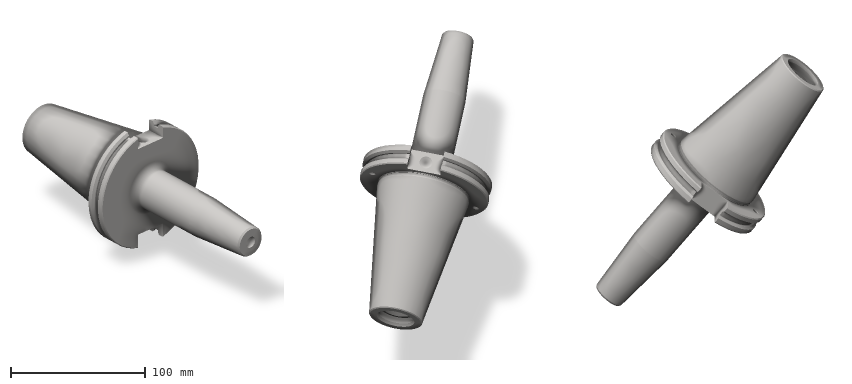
import cadquery as cq
import math

total_length = 231.5

taper_ratio = 7 / 24
taper_length = 101.7
gauge_radius = 70.0 / 2
small_radius = gauge_radius - taper_length * taper_ratio / 2
taper_chamfer = 0.7

relief_radius = 69.2 / 2
relief_start = 102.8
relief_end = 104.2

flange_start = 105.0
flange_end = 120.7
flange_radius = 98.0 / 2
flange_chamfer_length = 0.8
flange_chamfer_depth = 0.7
groove_center = 112.5
groove_floor_width = 4.2
groove_mouth_width = 7.0
groove_depth = 3.5
groove_flank_depth = 2.0

slot_width = 25.2
upper_slot_floor = 38.0
lower_slot_floor = 35.5

slot_recess_diameter = 9.5
drill_half_angle = math.radians(59)

neck_radius = 32.0 / 2
neck_fillet = 5.0
nose_start = 180.9
nose_radius = 24.0 / 2
nose_tip_radius = 22.0 / 2
nose_chamfer_length = 1.5

mouth_radius = 28.7 / 2
counterbore_radius = 26.2 / 2
mouth_depth = 2.0
counterbore_depth = 6.7
bore_radius = 22.0 / 2
bore_depth = 46.3
through_radius = 9.0 / 2

coolant_angle = 20.2
coolant_radius = 42.0
coolant_diameter = 4.2
coolant_mouth_diameter = 5.0
cross_hole_diameter = 3.2


def revolve_about_x(profile):
    return profile.close().revolve(360, (0, 0, 0), (1, 0, 0))


def turned_body():
    floor_half = groove_floor_width / 2
    mouth_half = groove_mouth_width / 2
    floor_radius = flange_radius - groove_depth
    flank_radius = flange_radius - groove_flank_depth
    rim_radius = flange_radius - flange_chamfer_depth
    fillet_middle = neck_fillet * (1 - math.sqrt(0.5))
    profile = (
        cq.Workplane("XY")
        .lineTo(0, small_radius - taper_chamfer)
        .lineTo(taper_chamfer, small_radius + taper_chamfer * taper_ratio / 2)
        .lineTo(taper_length, gauge_radius)
        .lineTo(relief_start, relief_radius)
        .lineTo(relief_end, relief_radius)
        .lineTo(relief_end, gauge_radius)
        .lineTo(flange_start, gauge_radius)
        .lineTo(flange_start, rim_radius)
        .lineTo(flange_start + flange_chamfer_length, flange_radius)
        .lineTo(groove_center - mouth_half, flange_radius)
        .lineTo(groove_center - floor_half, flank_radius)
        .lineTo(groove_center - floor_half, floor_radius)
        .lineTo(groove_center + floor_half, floor_radius)
        .lineTo(groove_center + floor_half, flank_radius)
        .lineTo(groove_center + mouth_half, flange_radius)
        .lineTo(flange_end - flange_chamfer_length, flange_radius)
        .lineTo(flange_end, rim_radius)
        .lineTo(flange_end, neck_radius + neck_fillet)
        .threePointArc(
            (flange_end + fillet_middle, neck_radius + fillet_middle),
            (flange_end + neck_fillet, neck_radius),
        )
        .lineTo(nose_start, neck_radius)
        .lineTo(total_length - nose_chamfer_length, nose_radius)
        .lineTo(total_length, nose_tip_radius)
        .lineTo(total_length, 0)
    )
    return revolve_about_x(profile)


def stepped_bore():
    cone_length = (bore_radius - through_radius) / math.tan(drill_half_angle)
    profile = (
        cq.Workplane("XY")
        .lineTo(0, mouth_radius)
        .lineTo(mouth_depth, counterbore_radius)
        .lineTo(counterbore_depth, counterbore_radius)
        .lineTo(counterbore_depth, bore_radius)
        .lineTo(bore_depth, bore_radius)
        .lineTo(bore_depth + cone_length, through_radius)
        .lineTo(total_length, through_radius)
        .lineTo(total_length, 0)
    )
    return revolve_about_x(profile)


def drive_slot(floor, side):
    """Slot across the flange; side is +1 for the top and -1 for the bottom."""
    depth = flange_radius - floor
    return cq.Workplane("XY").box(flange_end - flange_start, slot_width, depth).translate(
        ((flange_start + flange_end) / 2, 0, side * (floor + depth / 2))
    )


def slot_recess():
    """Conical drill-point recess."""
    radius = slot_recess_diameter / 2
    tip = upper_slot_floor - radius / math.tan(drill_half_angle)
    return (
        cq.Workplane("XZ")
        .moveTo(groove_center, upper_slot_floor)
        .lineTo(groove_center + radius, upper_slot_floor)
        .lineTo(groove_center, tip)
        .close()
        .revolve(360, (groove_center, 0, 0), (groove_center, 1, 0))
    )


def coolant_passage(turn):
    """Axial hole from the taper side of the flange, met by a radial hole from the groove."""
    axial_depth = groove_center - flange_start
    countersink = (coolant_mouth_diameter - coolant_diameter) / 2
    axial = (
        cq.Workplane("YZ", origin=(flange_start, coolant_radius, 0))
        .circle(coolant_diameter / 2)
        .extrude(axial_depth)
    )
    mouth = (
        cq.Workplane("YZ", origin=(flange_start, coolant_radius, 0))
        .circle(coolant_mouth_diameter / 2)
        .workplane(offset=countersink)
        .circle(coolant_diameter / 2)
        .loft()
    )
    radial = (
        cq.Workplane("XZ", origin=(groove_center, flange_radius, 0))
        .circle(cross_hole_diameter / 2)
        .extrude(flange_radius - coolant_radius)
    )
    passage = axial.union(mouth).union(radial)
    return passage.rotate((0, 0, 0), (1, 0, 0), turn)


result = turned_body().cut(stepped_bore())
result = result.cut(drive_slot(upper_slot_floor, 1))
result = result.cut(drive_slot(lower_slot_floor, -1))
result = result.cut(slot_recess())
for half_turn in (0, 180):
    result = result.cut(coolant_passage(coolant_angle + half_turn))